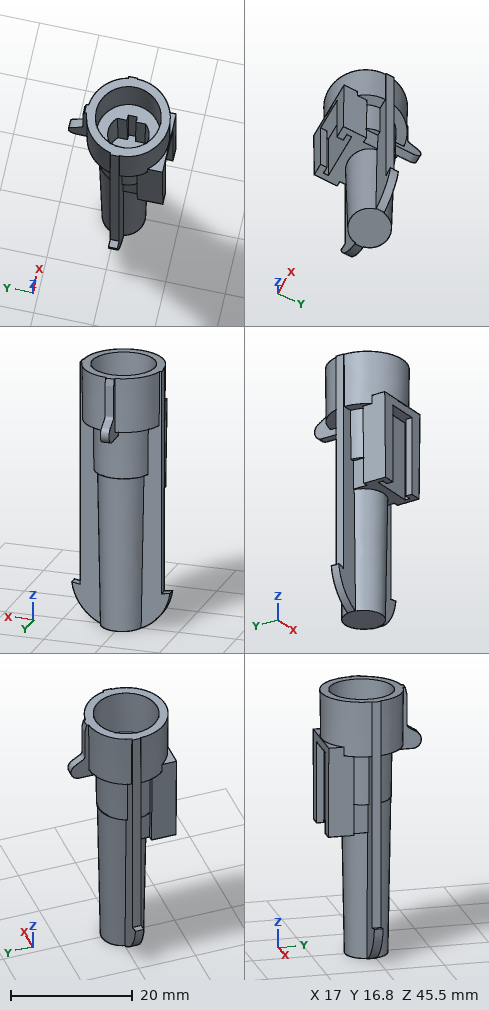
import cadquery as cq
import math


total_height = 45.5
cup_height = 9.5
cup_bottom = total_height - cup_height
collar_bottom = 27.1
block_bottom = 22.0
block_height = 15.5
block_top = block_bottom + block_height

cup_top_radius = 6.9
cup_bottom_radius = 6.8
bore_top_radius = 5.4
bore_bottom_radius = 5.3
bore_depth = 8.0
bore_floor = total_height - bore_depth
collar_top_radius = 5.0
collar_bottom_radius = 4.9

socket_top_radius = 3.4
socket_bottom_radius = 3.3
key_reach = 3.35
key_width = 1.5
key_draft_degrees = 0.5
socket_flat_width = 4.85
socket_floor_thickness = 1.5
socket_depth = bore_floor - collar_bottom - socket_floor_thickness

plate_thickness = 1.5
plate_middle_y = plate_thickness / 2
plate_half_width = 7.05
barb_half_width = 8.5
barb_tip_z = 6.65
barb_root_z = 6.4
barb_arc_center_z = 7.75
stem_bottom_radius = 3.6
stem_top_radius = 4.08

block_front_y = -cup_top_radius
block_depth = 4.3
block_back_y = block_front_y + block_depth
block_top_width = 10.5
block_bottom_width = 10.0
web_top_width = 8.4
web_bottom_width = 8.2
slot_mouth_width = 5.65
slot_height = 14.0
slot_inner_width = 8.0
lip_thickness = 1.2
slot_depth = 2.1

fin_thickness = 1.5
fin_face_y = 7.5
fin_lead_in = 0.3
fin_lead_in_height = 1.25
fin_tip_y = 9.94
fin_bead_radius = 1.5
fin_bottom = 34.8
fin_slope = math.radians(32)
fin_fillet_radius = 0.75


def cone(bottom_radius, top_radius, bottom_z, height, center_y=0):
    """Solid frustum standing on bottom_z."""
    axis_base = cq.Vector(0, center_y, bottom_z)
    return cq.Workplane(cq.Solid.makeCone(bottom_radius, top_radius, height, axis_base))


def box(width, front_y, back_y, bottom_z, height):
    """Box centred on x = 0 between two y positions."""
    depth = back_y - front_y
    return (
        cq.Workplane("XY")
        .box(width, depth, height, centered=(True, False, False))
        .translate((0, front_y, bottom_z))
    )


def make_wing_plate():
    """Flat plate whose lower end is a round-nosed double barb."""
    arc_radius = math.hypot(barb_half_width, barb_arc_center_z - barb_tip_z)
    nose_half_width = math.sqrt(arc_radius**2 - barb_arc_center_z**2)
    tip_angle = math.atan2(barb_tip_z - barb_arc_center_z, barb_half_width)
    nose_angle = math.atan2(-barb_arc_center_z, nose_half_width)
    middle_angle = (tip_angle + nose_angle) / 2
    arc_x = arc_radius * math.cos(middle_angle)
    arc_z = barb_arc_center_z + arc_radius * math.sin(middle_angle)
    return (
        cq.Workplane("XZ")
        .moveTo(-nose_half_width, 0)
        .lineTo(nose_half_width, 0)
        .threePointArc((arc_x, arc_z), (barb_half_width, barb_tip_z))
        .lineTo(plate_half_width, barb_root_z)
        .lineTo(plate_half_width, total_height)
        .lineTo(-plate_half_width, total_height)
        .lineTo(-plate_half_width, barb_root_z)
        .lineTo(-barb_half_width, barb_tip_z)
        .threePointArc((-arc_x, arc_z), (-nose_half_width, 0))
        .close()
        .extrude(-plate_thickness)
    )


def tapered_block(bottom_width, top_width, front_y, back_y, top_z):
    """Block from block_bottom up to top_z whose two sides lean outwards."""
    return (
        cq.Workplane("XZ", origin=(0, back_y, 0))
        .moveTo(-bottom_width / 2, block_bottom)
        .lineTo(bottom_width / 2, block_bottom)
        .lineTo(top_width / 2, top_z)
        .lineTo(-top_width / 2, top_z)
        .close()
        .extrude(back_y - front_y)
    )


def make_clip_block():
    """Clip block, plus the narrower web joining it to the wing plate."""
    block = tapered_block(block_bottom_width, block_top_width, block_front_y, block_back_y, block_top)
    web = tapered_block(web_bottom_width, web_top_width, block_back_y, plate_middle_y, collar_bottom)
    return block.union(web)


def make_clip_slot():
    """T-slot: a narrow mouth through the front lips and a wider channel behind."""
    mouth_back_y = block_front_y + lip_thickness
    channel_back_y = block_front_y + slot_depth
    mouth = box(slot_mouth_width, block_front_y, channel_back_y, block_bottom, slot_height)
    channel = box(slot_inner_width, mouth_back_y, channel_back_y, block_bottom, slot_height)
    return mouth.union(channel)


def make_latch_fin():
    """Thin fin with a tapered lead-in, a concave fillet and a rounded bead."""
    bead_y = fin_tip_y - fin_bead_radius
    bead_z = fin_bottom + fin_bead_radius
    slope_start_y = bead_y + fin_bead_radius * math.sin(fin_slope)
    slope_start_z = bead_z + fin_bead_radius * math.cos(fin_slope)
    fillet_y = fin_face_y + fin_fillet_radius
    slope_end_y = fillet_y - fin_fillet_radius * math.sin(fin_slope)
    slope_end_z = slope_start_z + (slope_start_y - slope_end_y) * math.tan(fin_slope)
    fillet_z = slope_end_z + fin_fillet_radius * math.cos(fin_slope)
    fillet_start_angle = math.pi
    fillet_end_angle = 1.5 * math.pi - fin_slope
    fillet_middle_angle = (fillet_start_angle + fillet_end_angle) / 2
    fillet_middle = (
        fillet_y + fin_fillet_radius * math.cos(fillet_middle_angle),
        fillet_z + fin_fillet_radius * math.sin(fillet_middle_angle),
    )
    return (
        cq.Workplane("YZ", origin=(-fin_thickness / 2, 0, 0))
        .moveTo(0, fin_bottom)
        .lineTo(bead_y, fin_bottom)
        .threePointArc((fin_tip_y, bead_z), (slope_start_y, slope_start_z))
        .lineTo(slope_end_y, slope_end_z)
        .threePointArc(fillet_middle, (fin_face_y, fillet_z))
        .lineTo(fin_face_y, total_height - fin_lead_in_height)
        .lineTo(fin_face_y - fin_lead_in, total_height)
        .lineTo(0, total_height)
        .close()
        .extrude(fin_thickness)
    )


def make_socket():
    """Tapered round socket with two side flats and a drafted key notch towards +X."""
    socket_bottom = bore_floor - socket_depth
    flats = box(socket_flat_width, -socket_top_radius, socket_top_radius, socket_bottom, socket_depth)
    round_socket = cone(socket_bottom_radius, socket_top_radius, socket_bottom, socket_depth)
    key = (
        cq.Workplane("XY", origin=(key_reach / 2, 0, bore_floor))
        .rect(key_reach, key_width)
        .extrude(-socket_depth, taper=key_draft_degrees)
    )
    return round_socket.intersect(flats).union(key)


cup = cone(cup_bottom_radius, cup_top_radius, cup_bottom, cup_height)
collar = cone(collar_bottom_radius, collar_top_radius, collar_bottom, cup_bottom - collar_bottom)
stem = cone(stem_bottom_radius, stem_top_radius, 0, collar_bottom, plate_middle_y)
bore = cone(bore_bottom_radius, bore_top_radius, bore_floor, bore_depth)

result = (
    cup.union(collar)
    .union(stem)
    .union(make_wing_plate())
    .union(make_clip_block())
    .union(make_latch_fin())
    .cut(make_clip_slot())
    .cut(bore)
    .cut(make_socket())
)